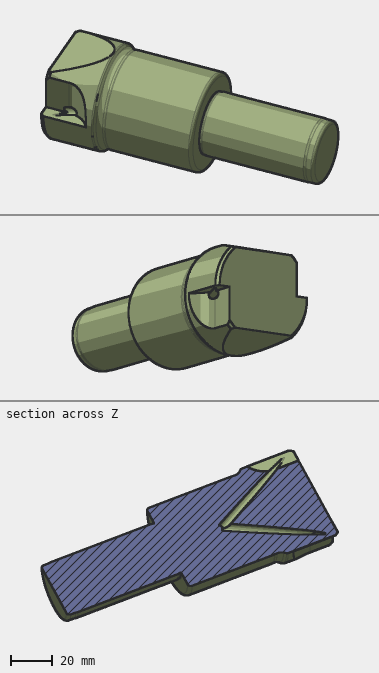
import cadquery as cq
import math

total_length = 138.4
head_radius = 27.0
body_radius = 50.0 / 2
relief_radius = 49.8 / 2
shank_radius = 32.0 / 2
shank_relief_radius = 31.5 / 2

front_chamfer_length = 1.8
front_chamfer_depth = 1.2

head_end = 26.8
head_round_radius = 1.2
bevel_angle = math.radians(40)
blend_start = 28.8
relief_start = 31.8
relief_end = 33.0
body_start = 33.2

body_end = 78.5
body_end_round = 1.7
neck_end = 79.3
shank_start = 80.0
shank_end = 133.0
tail_start = 134.2
tail_round = 1.5

core_half_width = 19.8
flat_angle = math.radians(15)

pocket_straight_length = 12.2
pocket_runout_radius = 13.3

coolant_diameter = 4.0
coolant_angle = math.radians(29)
coolant_tilt = math.radians(2.3)
coolant_wall_x = 13.5


def turned_blank():
    """Revolve the half profile about the X axis."""
    bevel_start = head_end + head_round_radius * math.sin(bevel_angle)
    bevel_radius = head_radius - head_round_radius * (1 - math.cos(bevel_angle))
    blend_radius = bevel_radius - (blend_start - bevel_start) * math.tan(bevel_angle)
    profile = (
        cq.Workplane("XY")
        .moveTo(0, 0)
        .lineTo(0, head_radius - front_chamfer_depth)
        .lineTo(front_chamfer_length, head_radius)
        .lineTo(head_end, head_radius)
        .tangentArcPoint((bevel_start, bevel_radius), relative=False)
        .lineTo(blend_start, blend_radius)
        .tangentArcPoint((relief_start, relief_radius), relative=False)
        .lineTo(relief_end, relief_radius)
        .lineTo(body_start, body_radius)
        .lineTo(body_end - body_end_round, body_radius)
        .tangentArcPoint((body_end, body_radius - body_end_round), relative=False)
        .lineTo(body_end, shank_relief_radius)
        .lineTo(neck_end, shank_relief_radius)
        .lineTo(shank_start, shank_radius)
        .lineTo(shank_end, shank_radius)
        .lineTo(tail_start, shank_relief_radius)
        .lineTo(total_length - tail_round, shank_relief_radius)
        .tangentArcPoint((total_length, shank_relief_radius - tail_round), relative=False)
        .lineTo(total_length, 0)
        .close()
    )
    return profile.revolve(360, (0, 0, 0), (1, 0, 0))


def top_flat_cutter():
    """Wedge above the sloping flat; it runs out at the full head radius."""
    run_out = (head_radius - core_half_width) / math.tan(flat_angle)
    return (
        cq.Workplane("XZ")
        .polyline([(0, core_half_width), (run_out, head_radius), (0, head_radius)])
        .close()
        .extrude(head_radius, both=True)
    )


def pocket_cutter():
    """Pocket on the -Y side above z = 0, with a round run-out to the rim."""
    depth = head_radius - core_half_width
    sweep = math.acos(1 - depth / pocket_runout_radius)
    runout_end = pocket_straight_length + pocket_runout_radius * math.sin(sweep)
    return (
        cq.Workplane("XY")
        .moveTo(0, -core_half_width)
        .lineTo(pocket_straight_length, -core_half_width)
        .tangentArcPoint((runout_end, -head_radius), relative=False)
        .lineTo(0, -head_radius)
        .close()
        .extrude(head_radius)
    )


def coolant_cutter():
    """Hole that rises slightly from the tool axis out through the pocket wall."""
    start_x = coolant_wall_x + core_half_width / math.tan(coolant_angle)
    length = head_radius / math.sin(coolant_angle)
    direction = cq.Vector(-math.cos(coolant_angle), -math.sin(coolant_angle), math.tan(coolant_tilt))
    return cq.Workplane(
        cq.Solid.makeCylinder(coolant_diameter / 2, length, cq.Vector(start_x, 0, 0), direction)
    )


result = turned_blank()
for turn in (0, 180):
    for cutter in (top_flat_cutter(), pocket_cutter(), coolant_cutter()):
        result = result.cut(cutter.rotate((0, 0, 0), (1, 0, 0), turn))